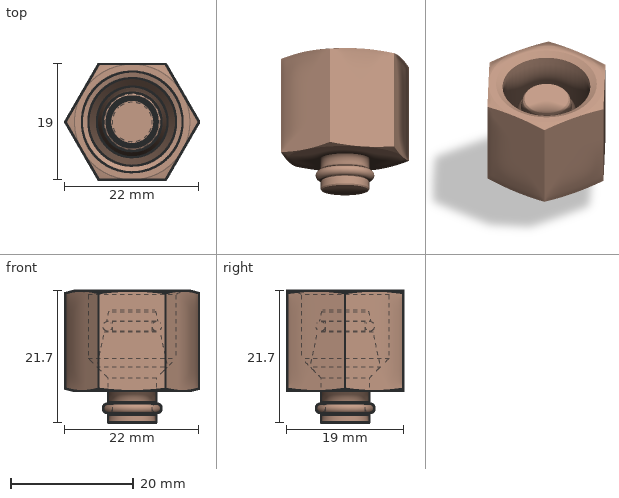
import cadquery as cq
import math


def revolve_profile(points):
    """Solid of revolution about Z from an outline of (radius, height) points."""
    return cq.Workplane("XZ").polyline(points).close().revolve(360, (0, 0, 0), (0, 1, 0))


hex_corner_width = 21.95
nut_height = 16.45
face_radius = 9.45
corner_chamfer_angle = 15.0
bore_radius = 14.37 / 2
bore_mouth_radius = 8.25
mouth_angle = 60.0

shank_radius = 8.0 / 2
shank_bottom = -5.25
shank_edge_height = 0.22
shank_edge_inset = 0.15
groove_lip = 0.13
shoulder_radius = 5.8
shoulder_start = 2.2
cone_half_angle = 12.0
plug_top = nut_height - 3.15
tip_radius = 3.62
tip_edge_radius = 3.88

groove_radius = 6.5 / 2
groove_width = 1.8
ring_thickness = 1.55
ring_center_radius = groove_radius + ring_thickness / 2
shank_groove_center = -2.8
cone_groove_edge_radius = 4.2

shoulder_top = shoulder_start + shoulder_radius - shank_radius
bore_bottom = shoulder_start + bore_radius - shank_radius
cone_slope = math.tan(math.radians(cone_half_angle))
cone_top = shoulder_top + (shoulder_radius - tip_edge_radius) / cone_slope
cone_groove_top = shoulder_top + (shoulder_radius - cone_groove_edge_radius) / cone_slope
cone_groove_center = cone_groove_top - groove_width / 2
ring_heights = [shank_groove_center, cone_groove_center]


def make_nut():
    corner_radius = hex_corner_width / 2
    corner_drop = (corner_radius - face_radius) * math.tan(math.radians(corner_chamfer_angle))
    mouth_depth = (bore_mouth_radius - bore_radius) / math.tan(math.radians(mouth_angle))
    hexagon = cq.Workplane("XY").polygon(6, hex_corner_width).extrude(nut_height)
    corner_envelope = revolve_profile([
        (0, 0),
        (face_radius, 0),
        (corner_radius, corner_drop),
        (corner_radius, nut_height - corner_drop),
        (face_radius, nut_height),
        (0, nut_height),
    ])
    bore = revolve_profile([
        (0, 0),
        (shank_radius, 0),
        (shank_radius, shoulder_start),
        (bore_radius, bore_bottom),
        (bore_radius, nut_height - mouth_depth),
        (bore_mouth_radius, nut_height),
        (0, nut_height),
    ])
    return hexagon.intersect(corner_envelope).cut(bore)


def make_plug():
    shank_groove_top = shank_groove_center + groove_width / 2
    shank_groove_bottom = shank_groove_center - groove_width / 2
    cone_groove_bottom = cone_groove_top - groove_width
    edge_radius = shank_radius - shank_edge_inset
    return revolve_profile([
        (0, shank_bottom),
        (edge_radius, shank_bottom),
        (shank_radius, shank_bottom + shank_edge_height),
        (shank_radius, shank_groove_bottom - shank_edge_height),
        (edge_radius, shank_groove_bottom),
        (groove_radius, shank_groove_bottom),
        (groove_radius, shank_groove_top),
        (shank_radius - groove_lip, shank_groove_top),
        (shank_radius, shank_groove_top + groove_lip),
        (shank_radius, shoulder_start),
        (shoulder_radius, shoulder_top),
        (cone_groove_edge_radius + groove_width * cone_slope, cone_groove_bottom),
        (groove_radius, cone_groove_bottom),
        (groove_radius, cone_groove_top),
        (cone_groove_edge_radius, cone_groove_top),
        (tip_edge_radius, cone_top),
        (tip_radius, plug_top),
        (0, plug_top),
    ])


def make_o_ring(center_height):
    section = cq.Workplane("XZ").center(ring_center_radius, center_height).circle(ring_thickness / 2)
    return section.revolve(360, (-ring_center_radius, 0, 0), (-ring_center_radius, 1, 0))


nut = make_nut()
plug = make_plug()
o_rings = [make_o_ring(height) for height in ring_heights]

result = cq.Compound.makeCompound([nut.val(), plug.val(), *[ring.val() for ring in o_rings]])